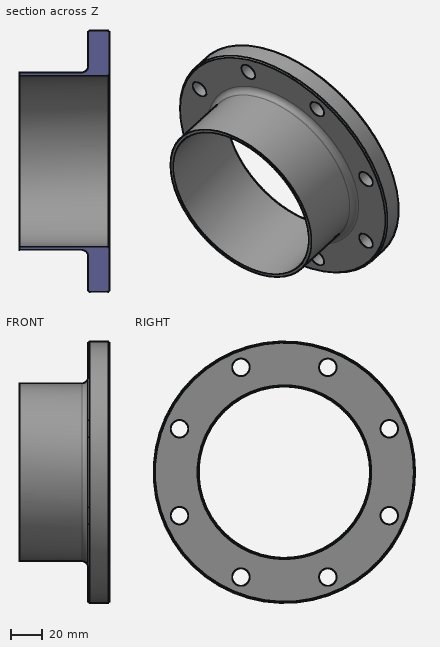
import cadquery as cq

flange_diameter = 168.0
flange_thickness = 14.0
edge_chamfer = 1.0
total_length = 58.0
pipe_diameter = 114.2
bore_diameter = 109.7
neck_fillet = 4.0
bolt_count = 8
bolt_circle_diameter = 145.7
bolt_hole_diameter = 11.1

pipe_length = total_length - flange_thickness
bolt_pitch_angle = 360 / bolt_count


def make_flange():
    """Disc with both rim edges chamfered, its pipe-side face at X = 0."""
    disc = cq.Workplane("YZ").circle(flange_diameter / 2).extrude(flange_thickness)
    return disc.edges().chamfer(edge_chamfer)


def make_neck():
    """Pipe stub along -X, flaring into the flange through a concave fillet."""
    pipe_radius = pipe_diameter / 2
    arc_offset = neck_fillet * (1 - 0.5 ** 0.5)
    profile = (
        cq.Workplane("XY")
        .moveTo(-pipe_length, 0)
        .lineTo(-pipe_length, pipe_radius)
        .lineTo(-neck_fillet, pipe_radius)
        .threePointArc((-arc_offset, pipe_radius + arc_offset), (0, pipe_radius + neck_fillet))
        .lineTo(flange_thickness / 2, pipe_radius + neck_fillet)
        .lineTo(flange_thickness / 2, 0)
        .close()
    )
    return profile.revolve(360, (0, 0, 0), (1, 0, 0))


def make_bore():
    """Straight bore through pipe and flange, its mating-face edge chamfered."""
    bore_radius = bore_diameter / 2
    profile = (
        cq.Workplane("XY")
        .moveTo(-pipe_length, 0)
        .lineTo(-pipe_length, bore_radius)
        .lineTo(flange_thickness - edge_chamfer, bore_radius)
        .lineTo(flange_thickness, bore_radius + edge_chamfer)
        .lineTo(flange_thickness, 0)
        .close()
    )
    return profile.revolve(360, (0, 0, 0), (1, 0, 0))


def make_bolt_holes():
    """Ring of through holes straddling the Y and Z axes."""
    return (
        cq.Workplane("YZ")
        .polarArray(bolt_circle_diameter / 2, bolt_pitch_angle / 2, 360, bolt_count)
        .circle(bolt_hole_diameter / 2)
        .extrude(flange_thickness)
    )


body = make_flange().union(make_neck())
result = body.cut(make_bore()).cut(make_bolt_holes())